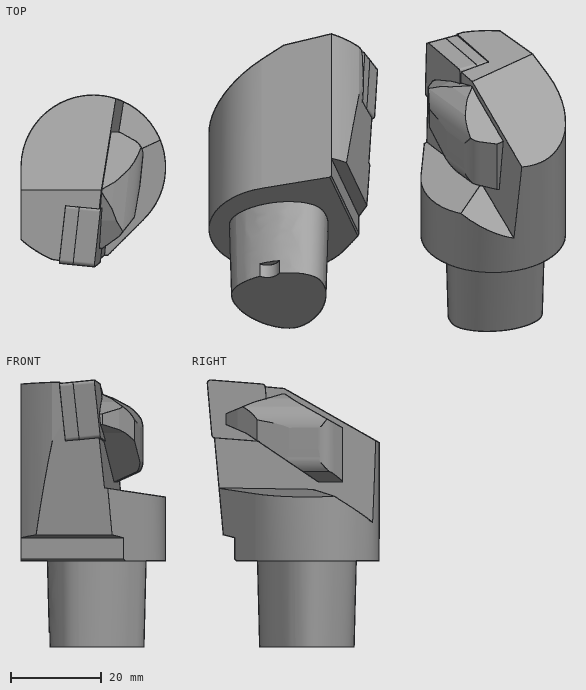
import cadquery as cq
import math

head_radius = 16.0
flange_front_y = -15.95
flange_chamfer = 0.35
flange_height = 5.1
front_foot_y = -18.45
front_foot_z = 5.7
front_lean = 0.091
crest_y = -5.0
crest_z = 38.05
front_top_slope = 0.088
rear_top_slope = 0.57
nose_y = -21.85
cheek_mid = (-12.6, -18.45)
cheek_end = (-9.0, -20.35)

chip_x = 6.05
chip_dy = 0.102
chip_dz = 0.099
chip_normal = cq.Vector(1, -chip_dy, chip_dz)

shelf_crease = (10.7, 4.15, 14.85)
shelf_front_normal = cq.Vector(0.149, 0, 1)
shelf_rear_normal = cq.Vector(-0.114, 0.57, 1)
cutter_size = 118.0

shank_length = 19.05
shank_mean_radius = 10.9
shank_tip_radius = 10.45
lobe_height = 0.75
lobe_half_angle = 25.0
notch_height = 3.35
notch_radius = 2.95
notch_center_x = -11.5

insert_corner = cq.Vector(0.2, -22.05, 40.0)
insert_edge_dir = cq.Vector(2.38, 21.7, -1.7)
insert_side = 12.9
insert_angle = 80.0
insert_thickness = 4.7
seat_thickness = 3.05
pocket_opening = 2.95
insert_corner_radius = 0.75

clamp_back_y = 7.85
clamp_nose_y = -17.9
clamp_inner_x = -5.9
clamp_bottom_z = 15.5
clamp_reach = 35.4


def half_space(point, normal):
    """A large block filling the side of a plane that its normal points to."""
    plane = cq.Plane(origin=point, normal=normal)
    return cq.Workplane(plane).rect(cutter_size, cutter_size).extrude(cutter_size)


def make_head():
    tangent = head_radius * math.sqrt(0.5)
    nose_x = nose_y + 2 * tangent
    front_top_z = crest_z + front_top_slope * (crest_y - nose_y)
    front_top_y = front_foot_y - front_lean * (front_top_z - front_foot_z)
    back_top_z = crest_z - rear_top_slope * (head_radius - crest_y)
    plan = (
        cq.Workplane("XY")
        .moveTo(-head_radius, flange_front_y)
        .threePointArc(cheek_mid, cheek_end)
        .lineTo(nose_x, nose_y)
        .lineTo(tangent, -tangent)
        .threePointArc((tangent, tangent), (0, head_radius))
        .threePointArc((-tangent, tangent), (-head_radius, 0))
        .close()
        .extrude(front_top_z)
    )
    side = (
        cq.Workplane("YZ")
        .polyline([
            (head_radius, 0),
            (head_radius, back_top_z),
            (crest_y, crest_z),
            (front_top_y, front_top_z),
            (front_foot_y, front_foot_z),
            (flange_front_y, flange_height),
            (flange_front_y, flange_chamfer),
            (flange_front_y + flange_chamfer, 0),
        ])
        .close()
        .extrude(head_radius, both=True)
    )
    return plan.intersect(side)


def make_chip_space():
    """The open space beside the chip face and above both shelf planes."""
    beside_chip_face = half_space((chip_x, 0, 0), chip_normal)
    above_front_shelf = half_space(shelf_crease, shelf_front_normal)
    above_rear_shelf = half_space(shelf_crease, shelf_rear_normal)
    return beside_chip_face.intersect(above_front_shelf.union(above_rear_shelf))


def lobe_point(mean_radius, angle, z):
    """Point of the three-lobed outline whose outward normal has this angle."""
    support = mean_radius + lobe_height * math.cos(3 * angle)
    slope = -3 * lobe_height * math.sin(3 * angle)
    x = support * math.cos(angle) - slope * math.sin(angle)
    y = support * math.sin(angle) + slope * math.cos(angle)
    return cq.Vector(x, y, z)


def lobe_wire(mean_radius, z):
    """Closed outline alternating three lobes and three flanks."""
    samples = 6
    edges = []
    for lobe in range(3):
        start = 120 * lobe - lobe_half_angle
        middle = 120 * lobe + lobe_half_angle
        end = start + 120
        for first, last in ((start, middle), (middle, end)):
            angles = [math.radians(first + (last - first) * i / samples) for i in range(samples + 1)]
            points = [lobe_point(mean_radius, angle, z) for angle in angles]
            tangents = [cq.Vector(-math.sin(a), math.cos(a), 0) for a in (angles[0], angles[-1])]
            edges.append(cq.Edge.makeSpline(points, tangents=tangents))
    return cq.Wire.assembleEdges(edges)


def make_shank():
    tip = lobe_wire(shank_tip_radius, -shank_length)
    root = lobe_wire(shank_mean_radius, 0)
    shank = cq.Workplane(cq.Solid.makeLoft([tip, root], True))
    notch = (
        cq.Workplane("XY", origin=(notch_center_x, 0, -shank_length))
        .circle(notch_radius)
        .extrude(notch_height)
    )
    return shank.cut(notch)


def rhombic_plate(depth, thickness, overrun=0.0):
    """Rhombic plate whose upper face lies this depth below the cutting face.

    The overrun lengthens both edges that meet at the cutting corner, outward past it.
    """
    plane = cq.Plane(origin=insert_corner, xDir=insert_edge_dir, normal=chip_normal)
    angle = math.radians(insert_angle)
    side = insert_side + overrun
    across = side * math.cos(angle)
    down = -side * math.sin(angle)
    start_x = -overrun * (1 + math.cos(angle))
    start_y = overrun * math.sin(angle)
    return (
        cq.Workplane(plane)
        .workplane(offset=-depth)
        .center(start_x, start_y)
        .polyline([(0, 0), (side, 0), (side + across, down), (across, down)])
        .close()
        .extrude(-thickness)
        .edges("|(%f, %f, %f)" % chip_normal.toTuple())
        .fillet(insert_corner_radius)
    )


def make_holder():
    pocket = rhombic_plate(0, insert_thickness + seat_thickness, pocket_opening)
    seat = rhombic_plate(insert_thickness, seat_thickness)
    head = make_head().cut(make_chip_space()).cut(pocket)
    return head.union(seat).union(make_shank())


def make_clamp(holder, insert):
    lean = cq.Vector(chip_dy, 1, 0)
    section_plane = cq.Plane(origin=(0, 0, 0), xDir=(1, -chip_dy, 0), normal=lean * -1)
    section = (
        cq.Workplane(section_plane)
        .moveTo(0, 37.75)
        .lineTo(5.0, 35.75)
        .lineTo(7.95, 34.0)
        .threePointArc((10.05, 31.4), (10.75, 28.3))
        .lineTo(10.6, 22.7)
        .threePointArc((10.45, 21.0), (9.75, 19.7))
        .lineTo(0, clamp_bottom_z)
        .close()
        .extrude(clamp_reach, both=True)
    )
    plan = (
        cq.Workplane("XY")
        .moveTo(clamp_inner_x, clamp_back_y)
        .lineTo(5.7, clamp_back_y)
        .lineTo(9.2, 5.9)
        .threePointArc((10.55, 4.5), (11.0, 2.55))
        .lineTo(10.3, -3.85)
        .lineTo(9.1, -11.0)
        .lineTo(5.7, -15.2)
        .lineTo(2.0, clamp_nose_y)
        .lineTo(clamp_inner_x, clamp_nose_y)
        .close()
        .extrude(2 * clamp_reach)
    )
    face = (
        cq.Workplane("YZ")
        .polyline([
            (clamp_nose_y, 32.45), (-11.8, 35.0), (-5.0, 36.95), (-2.35, 35.15), (clamp_back_y, 29.4),
            (clamp_back_y, clamp_bottom_z), (2.35, 17.5), (-13.4, 28.15), (clamp_nose_y, 30.1),
        ])
        .close()
        .extrude(clamp_reach)
    )
    above_chip_face = half_space((chip_x, 0, 0), chip_normal)
    clamp = section.intersect(plan).intersect(face).intersect(above_chip_face)
    return clamp.cut(holder).cut(insert)


insert = rhombic_plate(0, insert_thickness)
holder = make_holder()
clamp = make_clamp(holder, insert)

result = cq.Compound.makeCompound([holder.val(), insert.val(), clamp.val()])